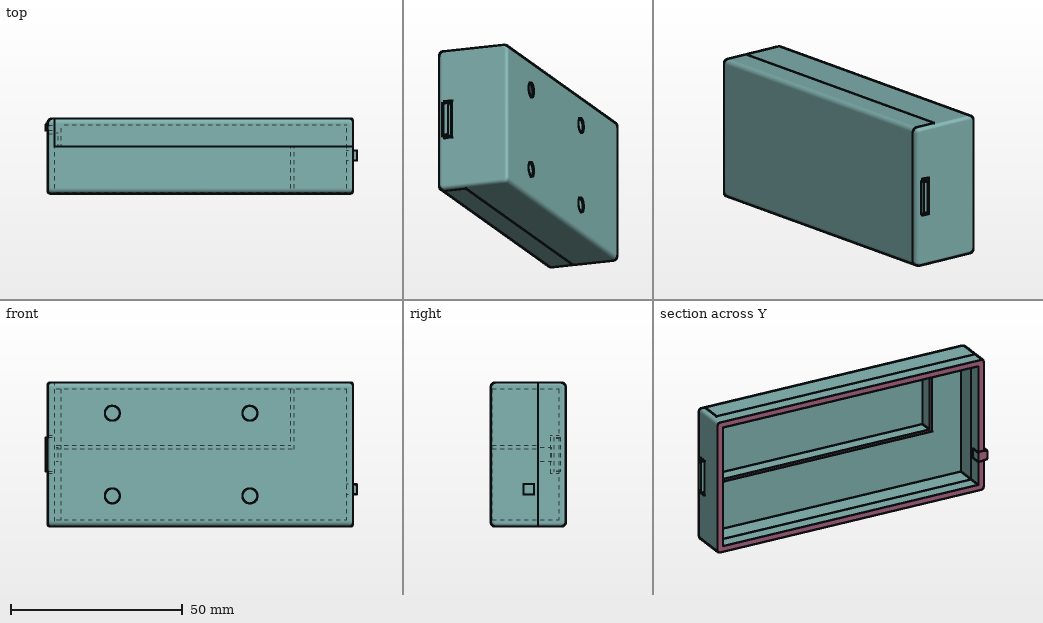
import cadquery as cq

LENGTH = 89.0
DEPTH = 22.0
HEIGHT = 42.0
WALL = 2.0
FRONT_WALL = 0.4
LONG_EDGE_RADIUS = 1.5
END_EDGE_RADIUS = 1.0

LID_DEPTH = 8.2
LID_FRONT = DEPTH - LID_DEPTH

HOLE_DIAMETER = 4.4
HOLE_X_SPACING = 40.0
HOLE_Z_SPACING = 24.1
LEFT_HOLE_X = 18.9
HOLE_CENTERS = [
    (LEFT_HOLE_X + column * HOLE_X_SPACING, HEIGHT / 2 + row * HOLE_Z_SPACING / 2)
    for column in (0, 1)
    for row in (-1, 1)
]

SLOT_HEIGHT = 11.2
SLOT_WIDTH = 2.45
SLOT_BACK_OFFSET = 2.1
SLOT_BACK = DEPTH - SLOT_BACK_OFFSET
CONNECTOR_HEIGHT = 10.0
CONNECTOR_PLUG_WIDTH = 1.45
CONNECTOR_FRONT = SLOT_BACK - CONNECTOR_PLUG_WIDTH
CONNECTOR_PROTRUSION = 0.6
FLANGE_OVERHANG = 0.5
FLANGE_CHAMFER_DEPTH = 0.4
CONNECTOR_END_CHAMFER = 0.3

NOTCH_HEIGHT = 4.1
NOTCH_DEPTH = 1.0
NOTCH_EXPOSED_WIDTH = 0.3
NOTCH_BACK = SLOT_BACK - SLOT_WIDTH + NOTCH_EXPOSED_WIDTH

BUTTON_SIZE = 3.0
BUTTON_PROTRUSION = 1.2
BUTTON_Y = 11.2
BUTTON_Z = 10.9
BUTTON_RADIUS = 0.45

TRAY_THICKNESS = 1.0
SHELF_TOP = 23.6
UPRIGHT_X = 70.7


def box(x_range, y_range, z_range):
    """Box between two limits along each axis."""
    limits = (x_range, y_range, z_range)
    sizes = [high - low for low, high in limits]
    corner = tuple(low for low, _ in limits)
    return cq.Workplane("XY").box(*sizes, centered=False).translate(corner)


def centered_range(center, size):
    return (center - size / 2, center + size / 2)


def make_outer_block():
    """Solid outer shape of the closed enclosure, with its edges rounded."""
    block = box((0, LENGTH), (0, DEPTH), (0, HEIGHT))
    block = block.edges("|X or (|Z and <X and >Y)").fillet(LONG_EDGE_RADIUS)
    return block.faces("<X or >X").edges().fillet(END_EDGE_RADIUS)


def make_lid_space():
    """Region of the enclosure that belongs to the lid."""
    return box((WALL, LENGTH), (LID_FRONT, DEPTH), (0, HEIGHT))


def make_housing():
    cavity = box((WALL, LENGTH - WALL), (FRONT_WALL, LID_FRONT), (WALL, HEIGHT - WALL))
    slot = box(
        (0, WALL),
        (SLOT_BACK - SLOT_WIDTH, SLOT_BACK),
        centered_range(HEIGHT / 2, SLOT_HEIGHT),
    )
    button_hole = box(
        (LENGTH - WALL, LENGTH),
        centered_range(BUTTON_Y, BUTTON_SIZE),
        centered_range(BUTTON_Z, BUTTON_SIZE),
    )
    front_holes = (
        cq.Workplane("XZ")
        .pushPoints(HOLE_CENTERS)
        .circle(HOLE_DIAMETER / 2)
        .extrude(-FRONT_WALL)
    )
    housing = make_outer_block().cut(make_lid_space())
    return housing.cut(cavity).cut(slot).cut(button_hole).cut(front_holes)


def make_lid():
    cavity = box(
        (2 * WALL, LENGTH - WALL), (LID_FRONT, DEPTH - WALL), (WALL, HEIGHT - WALL)
    )
    notch = box(
        (WALL, WALL + NOTCH_DEPTH),
        (LID_FRONT, NOTCH_BACK),
        centered_range(HEIGHT / 2, NOTCH_HEIGHT),
    )
    return make_outer_block().intersect(make_lid_space()).cut(cavity).cut(notch)


def make_connector():
    """Plug filling part of the slot, with a bevelled flange lying on the end wall."""
    z_range = centered_range(HEIGHT / 2, CONNECTOR_HEIGHT)
    plug = box((0, WALL), (CONNECTOR_FRONT, SLOT_BACK), z_range)
    flange_outline = [
        (0, CONNECTOR_FRONT),
        (-CONNECTOR_PROTRUSION, CONNECTOR_FRONT),
        (-CONNECTOR_PROTRUSION, SLOT_BACK),
        (FLANGE_CHAMFER_DEPTH - CONNECTOR_PROTRUSION, SLOT_BACK + FLANGE_OVERHANG),
        (0, SLOT_BACK + FLANGE_OVERHANG),
    ]
    flange = (
        cq.Workplane("XY", origin=(0, 0, z_range[0]))
        .polyline(flange_outline)
        .close()
        .extrude(CONNECTOR_HEIGHT)
        .faces("<X")
        .edges("|Y")
        .chamfer(CONNECTOR_END_CHAMFER)
    )
    return plug.union(flange)


def make_button():
    """Square push button, rounded at the top and bottom of its outer end."""
    button = box(
        (LENGTH - WALL, LENGTH + BUTTON_PROTRUSION),
        centered_range(BUTTON_Y, BUTTON_SIZE),
        centered_range(BUTTON_Z, BUTTON_SIZE),
    )
    return button.faces(">X").edges("|Y").fillet(BUTTON_RADIUS)


def make_tray():
    y_range = (FRONT_WALL, LID_FRONT)
    shelf_bottom = SHELF_TOP - TRAY_THICKNESS
    upright_end = UPRIGHT_X + TRAY_THICKNESS
    shelf = box((WALL, upright_end), y_range, (shelf_bottom, SHELF_TOP))
    upright = box((UPRIGHT_X, upright_end), y_range, (SHELF_TOP, HEIGHT - WALL))
    return shelf.union(upright)


housing = make_housing()
lid = make_lid()
connector = make_connector()
button = make_button()
tray = make_tray()

result = cq.Compound.makeCompound(
    [housing.val(), lid.val(), connector.val(), button.val(), tray.val()]
)